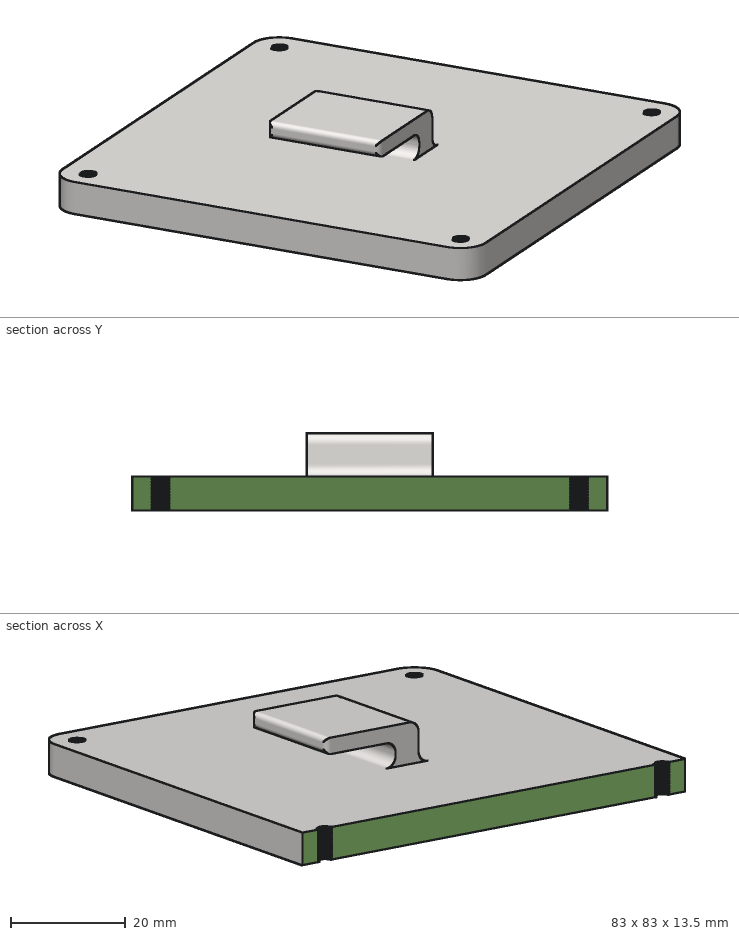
import cadquery as cq

plate_side = 83.0
plate_thickness = 6.0
corner_radius = 5.0
hole_diameter = 2.5
hole_spacing = plate_side - 2 * corner_radius

thread_pitch = 0.5
thread_depth = 0.25
thread_root_width = 0.1
thread_mouth_width = 0.3
thread_overlap = 0.1

overall_height = 13.5
hook_width = 22.0
post_thickness = 5.0
arm_thickness = 3.0
arm_reach = 15.0
bend_radius = 2.0
tip_radius = 1.0

post_back = post_thickness / 2
post_front = -post_thickness / 2
tip = post_front - arm_reach
arm_underside = overall_height - arm_thickness


def make_plate():
    """Square plate with rounded corners."""
    return (
        cq.Workplane("XY")
        .rect(plate_side, plate_side)
        .extrude(plate_thickness)
        .edges("|Z")
        .fillet(corner_radius)
    )


def make_thread_groove():
    """Helical V groove about the Z axis, one turn longer than the plate at each end."""
    start = -thread_pitch
    length = plate_thickness + 2 * thread_pitch
    wall = hole_diameter / 2
    helix = cq.Wire.makeHelix(thread_pitch, length, wall, cq.Vector(0, 0, start))
    flank_slope = (thread_mouth_width - thread_root_width) / 2 / thread_depth
    inner_half = thread_mouth_width / 2 + flank_slope * thread_overlap
    root_half = thread_root_width / 2
    return (
        cq.Workplane("XZ")
        .moveTo(wall - thread_overlap, start - inner_half)
        .lineTo(wall + thread_depth, start - root_half)
        .lineTo(wall + thread_depth, start + root_half)
        .lineTo(wall - thread_overlap, start + inner_half)
        .close()
        .sweep(cq.Workplane(helix), isFrenet=True)
    )


def cut_threaded_holes(plate):
    """Cut a threaded through hole at each corner of the plate."""
    offset = hole_spacing / 2
    drill = cq.Workplane("XY").circle(hole_diameter / 2).extrude(plate_thickness)
    groove = make_thread_groove()
    for x in (-offset, offset):
        for y in (-offset, offset):
            plate = plate.cut(groove.translate((x, y, 0)))
            plate = plate.cut(drill.translate((x, y, 0)))
    return plate


def make_hook():
    """Hook profile in the YZ plane, extruded across X, with a rounded free end."""
    r = bend_radius
    profile = (
        cq.Workplane("YZ")
        .moveTo(post_front - r, plate_thickness)
        .lineTo(post_back + r, plate_thickness)
        .radiusArc((post_back, plate_thickness + r), r)
        .lineTo(post_back, overall_height - r)
        .radiusArc((post_back - r, overall_height), -r)
        .lineTo(tip, overall_height)
        .lineTo(tip, arm_underside)
        .lineTo(post_front - r, arm_underside)
        .radiusArc((post_front, arm_underside - r), r)
        .lineTo(post_front, plate_thickness + r)
        .radiusArc((post_front - r, plate_thickness), r)
        .close()
    )
    hook = profile.extrude(hook_width / 2, both=True)
    return hook.faces("<Y").edges().fillet(tip_radius)


result = cut_threaded_holes(make_plate()).union(make_hook())